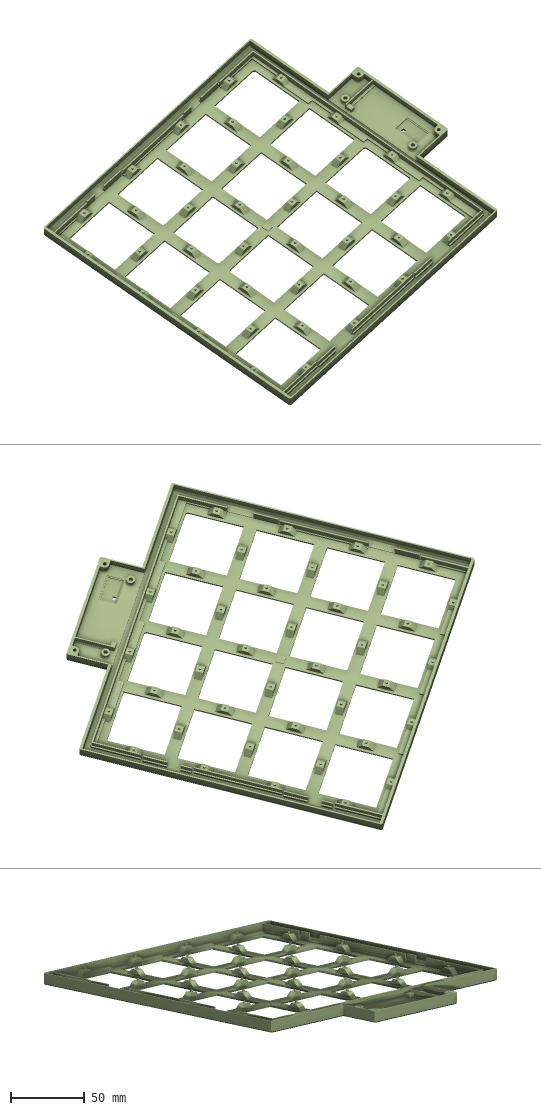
import cadquery as cq

FRAME_HEIGHT = 8.2
GRID_HEIGHT = 1.5
CHANNEL_HEIGHT = 2.0
SHELF_HEIGHT = 2.8
STEP_HEIGHT = 4.0
RIDGE_HEIGHT = 7.7
PIN_HEIGHT = 7.0
BOSS_HEIGHT = 2.2

CELLS = 4
PITCH = 50.25
WINDOW = 41.25
WINDOW_RADIUS = 2.0

FRAME_X = 112.0
FRAME_BACK = 111.0
FRAME_FRONT = -105.0
EDGE_CHAMFER = 0.85
SIDE_WALL = 1.0
END_WALL = 2.0
WALL_FOOT = 1.2

RIDGE_WIDTH = 0.9
STEP_WIDTH = 0.9
BACK_RIDGE_INSET = 7.5
SIDE_RIDGE_INSET = 8.6
RIB_INSET = 7.8
RIDGE_GAP = 37.5
LONG_RIB = 17.5
SHORT_RIB = 7.7

SHELF_SIDE = 9.4
SHELF_BACK = 9.4
SHELF_BACK_DEEP = 13.2
SHELF_FRONT = 2.8
SHELF_FRONT_DEEP = 6.6
SHELF_OVERLAP = 2.0

MOUNT_LENGTH = 12.6
MOUNT_WIDTH = 5.4
MOUNT_TOP = 4.8
MOUNT_RAMP = (MOUNT_LENGTH - MOUNT_TOP) / 2
MOUNT_HEIGHT = GRID_HEIGHT + MOUNT_RAMP
PIN_DIAMETER = 1.6

TRAY_X = 41.0
TRAY_BACK = 141.0
POST_INSET = 4.7
POST_DIAMETER = 6.0
POST_HOLE = 2.7
STANDOFF_X = 30.6
STANDOFF_Y = 116.0
STANDOFF_HEIGHT = 6.0
STANDOFF_DIAMETER = 6.0
STANDOFF_HOLE = 3.0
CONE_FOOT = 0.8
TRAY_RIB_LEFT = -26.4
TRAY_RIB_FRONT = 111.0
TRAY_RIB_FOOT = 1.0
TRAY_STEP_WIDTH = 1.9
TRAY_STEP_HEIGHT = 3.6
CLIP_LENGTH = 5.5
CLIP_WIDTH = 3.2

POCKET_LEFT = 10.7
POCKET_RIGHT = 31.0
POCKET_FRONT = 120.2
POCKET_BACK = 133.2
POCKET_DEPTH = 1.0
POCKET_SLOPE = 1.8
LEDGE_WIDTH = 0.9
LEDGE_DEPTH = 0.5
CABLE_HOLE = 2.4
CABLE_HOLE_X = 15.4
CABLE_HOLE_Y = 123.6

SELECT_MARGIN = 1.0

HALF_BAR = (PITCH - WINDOW) / 2
cell_centres = [(i - (CELLS - 1) / 2) * PITCH for i in range(CELLS)]
bar_centres = [(i - CELLS / 2) * PITCH for i in range(CELLS + 1)]
gap_centres = [-PITCH, PITCH]

wall_x = FRAME_X - SIDE_WALL
wall_back = FRAME_BACK - END_WALL
wall_front = FRAME_FRONT + END_WALL


def block(x0, x1, y0, y1, z0, z1):
    """Box between two opposite corners; x0 and x1 may come in either order."""
    plane = cq.Workplane("XY", origin=(min(x0, x1), y0, z0))
    return plane.box(abs(x1 - x0), y1 - y0, z1 - z0, centered=False)


def cylinder(x, y, diameter, z0, z1):
    return cq.Workplane("XY", origin=(x, y, z0)).circle(diameter / 2).extrude(z1 - z0)


def cone_foot(x, y, diameter):
    """45 degree foot around a round post on the tray floor."""
    plane = cq.Workplane("XY", origin=(x, y, SHELF_HEIGHT))
    return plane.circle(diameter / 2 + CONE_FOOT).extrude(CONE_FOOT, taper=45)


def foot_wedge(x, direction, size, y0, y1, z):
    """45 degree foot rising from height z against a face at x."""
    corner = [(x, z), (x + direction * size, z), (x, z + size)]
    return cq.Workplane("XZ", origin=(0, y1, 0)).polyline(corner).close().extrude(y1 - y0)


def near(x, y):
    """Selector for the upright edge at x, y."""
    low = (x - SELECT_MARGIN, y - SELECT_MARGIN, -SELECT_MARGIN)
    high = (x + SELECT_MARGIN, y + SELECT_MARGIN, FRAME_HEIGHT + SELECT_MARGIN)
    return cq.selectors.BoxSelector(low, high)


def join(body, pieces):
    """Fuse a list of separate pieces onto the body in one operation."""
    return cq.Workplane(body.val().fuse(*[piece.val() for piece in pieces]))


def remove(body, pieces):
    """Cut a list of separate pieces from the body in one operation."""
    return cq.Workplane(body.val().cut(*[piece.val() for piece in pieces]))


def outer_body():
    frame = block(-FRAME_X, FRAME_X, FRAME_FRONT, FRAME_BACK, 0, FRAME_HEIGHT)
    tray = block(-TRAY_X, TRAY_X, wall_back, TRAY_BACK, 0, FRAME_HEIGHT)
    body = frame.union(tray)
    for side in (-1, 1):
        for x, y in ((FRAME_X, FRAME_FRONT), (FRAME_X, FRAME_BACK), (TRAY_X, TRAY_BACK)):
            body = body.edges("|Z").edges(near(side * x, y)).chamfer(EDGE_CHAMFER)
    return body.faces("<Z").edges().chamfer(EDGE_CHAMFER)


def frame_space():
    """Open space of the frame above the channel floor, less the wall feet."""
    space = block(-wall_x, wall_x, wall_front, wall_back, CHANNEL_HEIGHT, FRAME_HEIGHT)
    for side in (-1, 1):
        foot = foot_wedge(side * wall_x, -side, WALL_FOOT, wall_front, wall_back, CHANNEL_HEIGHT)
        space = space.cut(foot)
    return space


def tray_space():
    x = TRAY_X - SIDE_WALL
    return block(-x, x, wall_back, TRAY_BACK - END_WALL, SHELF_HEIGHT, FRAME_HEIGHT)


def grid_recess():
    """Lowered area of the grid inside the ridges and in their gaps."""
    side = FRAME_X - SHELF_SIDE
    gap_side = FRAME_X - RIB_INSET
    back = FRAME_BACK - SHELF_BACK
    front = FRAME_FRONT + SHELF_FRONT
    recess = block(-side, side, front, back, GRID_HEIGHT, SHELF_HEIGHT)
    for y in gap_centres:
        gap = block(-gap_side, gap_side, y - RIDGE_GAP / 2, y + RIDGE_GAP / 2, GRID_HEIGHT, SHELF_HEIGHT)
        recess = recess.union(gap)
    return remove(recess, deep_stretches())


def deep_stretches():
    """Wider stretches of the shelf beside the mounts of the end walls."""
    deep_back = FRAME_BACK - SHELF_BACK_DEEP
    deep_front = FRAME_FRONT + SHELF_FRONT_DEEP
    stretches = []
    for x in cell_centres:
        end = x + PITCH / 2 + SHELF_OVERLAP
        stretches.append(block(x, end, deep_back, wall_back, GRID_HEIGHT, SHELF_HEIGHT))
        stretches.append(block(x - PITCH / 2, x, wall_front, deep_front, GRID_HEIGHT, SHELF_HEIGHT))
    return stretches


def shelf():
    """Raised shelf from the side and back ridges inward to the grid."""
    x = FRAME_X - SIDE_RIDGE_INSET
    back = FRAME_BACK - BACK_RIDGE_INSET
    return block(-x, x, wall_front, back, GRID_HEIGHT, SHELF_HEIGHT).cut(grid_recess())


def windows():
    cells = [(x, y) for x in cell_centres for y in cell_centres]
    openings = cq.Workplane("XY").pushPoints(cells).rect(WINDOW, WINDOW).extrude(SHELF_HEIGHT)
    outer = CELLS * PITCH / 2 - HALF_BAR
    for side in (-1, 1):
        for x, y in ((outer, outer), (HALF_BAR, outer), (HALF_BAR, HALF_BAR - PITCH)):
            openings = openings.edges("|Z").edges(near(side * x, y)).fillet(WINDOW_RADIUS)
    return openings


def side_ridge(side, inset, y0, y1):
    """Thin ridge along one side wall with a low step on its outer side."""
    inner = side * (FRAME_X - inset)
    outer = inner + side * RIDGE_WIDTH
    ridge = block(inner, outer, y0, y1, GRID_HEIGHT, RIDGE_HEIGHT)
    step = block(outer, outer + side * STEP_WIDTH, y0, y1, GRID_HEIGHT, STEP_HEIGHT)
    return ridge.union(step)


def back_ridge():
    x = FRAME_X - SIDE_RIDGE_INSET + RIDGE_WIDTH
    inner = FRAME_BACK - BACK_RIDGE_INSET
    outer = inner + RIDGE_WIDTH
    ridge = block(-x, x, inner, outer, GRID_HEIGHT, RIDGE_HEIGHT)
    step = block(-x, x, outer, outer + STEP_WIDTH, GRID_HEIGHT, STEP_HEIGHT)
    return ridge.union(step)


def ridges():
    pieces = [back_ridge()]
    ridge_back = FRAME_BACK - BACK_RIDGE_INSET + RIDGE_WIDTH
    half_gap = RIDGE_GAP / 2
    low, high = gap_centres
    stretches = [
        (wall_front, low - half_gap),
        (low + half_gap, high - half_gap),
        (high + half_gap, ridge_back),
    ]
    for side in (-1, 1):
        for y0, y1 in stretches:
            pieces.append(side_ridge(side, SIDE_RIDGE_INSET, y0, y1))
    for y in gap_centres:
        pieces.append(side_ridge(1, RIB_INSET, y - LONG_RIB, y))
        pieces.append(side_ridge(-1, RIB_INSET, y, y + LONG_RIB))
        pieces.append(side_ridge(-1, RIB_INSET, y - LONG_RIB, y - LONG_RIB + SHORT_RIB))
    return pieces


def ramped_mount():
    """Mount with 45 degree ramps and a pin, lying along X at the origin."""
    top = MOUNT_TOP / 2
    toe = MOUNT_LENGTH / 2
    profile = [(-toe, GRID_HEIGHT), (toe, GRID_HEIGHT), (top, MOUNT_HEIGHT), (-top, MOUNT_HEIGHT)]
    plane = cq.Workplane("XZ", origin=(0, MOUNT_WIDTH / 2, 0))
    mount = plane.polyline(profile).close().extrude(MOUNT_WIDTH)
    return mount.union(cylinder(0, 0, PIN_DIAMETER, GRID_HEIGHT, PIN_HEIGHT))


def mounts():
    along_x = ramped_mount()
    along_y = along_x.rotate((0, 0, 0), (0, 0, 1), 90)
    pieces = []
    for cell in cell_centres:
        for bar in bar_centres:
            pieces.append(along_x.translate((cell, bar, 0)))
            pieces.append(along_y.translate((bar, cell, 0)))
    return pieces


def centre_boss():
    half = MOUNT_WIDTH / 2
    return block(-half, half, -half, half, GRID_HEIGHT, BOSS_HEIGHT)


def tray_post(side):
    """Round corner post, filled out to the two tray walls."""
    x = side * (TRAY_X - POST_INSET)
    y = TRAY_BACK - POST_INSET
    radius = POST_DIAMETER / 2
    wall = side * (TRAY_X - SIDE_WALL)
    back = TRAY_BACK - END_WALL
    post = cylinder(x, y, POST_DIAMETER, SHELF_HEIGHT, FRAME_HEIGHT).union(cone_foot(x, y, POST_DIAMETER))
    post = post.union(block(x, wall, y - radius, back, SHELF_HEIGHT, FRAME_HEIGHT))
    post = post.union(block(x - side * radius, wall, y, back, SHELF_HEIGHT, FRAME_HEIGHT))
    inside = block(x - side * POST_DIAMETER, wall, y - POST_DIAMETER, back, SHELF_HEIGHT, FRAME_HEIGHT)
    return post.intersect(inside).cut(cylinder(x, y, POST_HOLE, SHELF_HEIGHT, FRAME_HEIGHT))


def tray_rib():
    """Thin rib across the tray with a foot, a low step and an end clip."""
    right = TRAY_RIB_LEFT + RIDGE_WIDTH
    back = TRAY_BACK - END_WALL
    rib = block(TRAY_RIB_LEFT, right, TRAY_RIB_FRONT, back, SHELF_HEIGHT, RIDGE_HEIGHT)
    step = block(right, right + TRAY_STEP_WIDTH, TRAY_RIB_FRONT, back, SHELF_HEIGHT, TRAY_STEP_HEIGHT)
    foot = foot_wedge(TRAY_RIB_LEFT, -1, TRAY_RIB_FOOT, STANDOFF_Y, back, SHELF_HEIGHT)
    clip = block(TRAY_RIB_LEFT, TRAY_RIB_LEFT + CLIP_LENGTH, TRAY_RIB_FRONT, TRAY_RIB_FRONT + CLIP_WIDTH,
                 SHELF_HEIGHT, STANDOFF_HEIGHT)
    return rib.union(step).union(foot).union(clip)


def standoff(x):
    post = cylinder(x, STANDOFF_Y, STANDOFF_DIAMETER, SHELF_HEIGHT, STANDOFF_HEIGHT)
    return post.union(cone_foot(x, STANDOFF_Y, STANDOFF_DIAMETER))


def standoff_hole(x):
    return cylinder(x, STANDOFF_Y, STANDOFF_HOLE, SHELF_HEIGHT, STANDOFF_HEIGHT)


def connector_pocket():
    """Pocket with a sloped front and a ledge along its right and back."""
    floor = SHELF_HEIGHT - POCKET_DEPTH
    back = POCKET_BACK - LEDGE_WIDTH
    right = POCKET_RIGHT - LEDGE_WIDTH
    slope_end = POCKET_FRONT + POCKET_SLOPE
    profile = [(POCKET_FRONT, SHELF_HEIGHT), (slope_end, floor), (back, floor), (back, SHELF_HEIGHT)]
    plane = cq.Workplane("YZ", origin=(POCKET_LEFT, 0, 0))
    pocket = plane.polyline(profile).close().extrude(right - POCKET_LEFT)
    ledge = block(POCKET_LEFT, POCKET_RIGHT, slope_end, POCKET_BACK,
                  SHELF_HEIGHT - LEDGE_DEPTH, SHELF_HEIGHT)
    return pocket.union(ledge)


def cable_hole():
    half = CABLE_HOLE / 2
    x0, x1 = CABLE_HOLE_X - half, CABLE_HOLE_X + half
    return block(x0, x1, CABLE_HOLE_Y - half, CABLE_HOLE_Y + half, 0, SHELF_HEIGHT)


shell = remove(outer_body(), [frame_space(), tray_space(), grid_recess()])
shell = join(shell, [shelf()])
shell = shell.cut(windows())

tray_parts = [tray_post(-1), tray_post(1), tray_rib(), standoff(-STANDOFF_X), standoff(STANDOFF_X)]
part = join(shell, ridges() + mounts() + [centre_boss()] + tray_parts)
openings = [connector_pocket(), cable_hole(), standoff_hole(-STANDOFF_X), standoff_hole(STANDOFF_X)]
result = remove(part, openings).clean().solids()